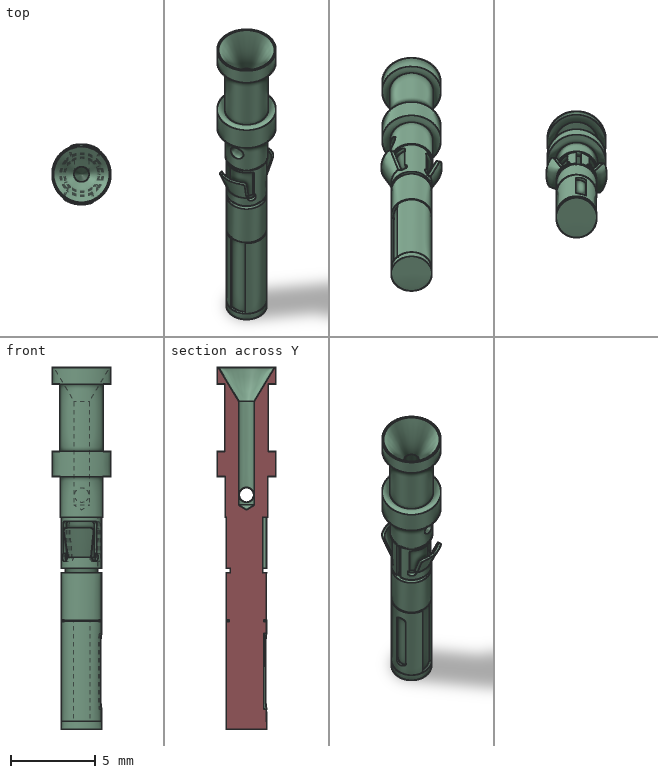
import cadquery as cq
import math

length = 21.5
end_band_top = 0.5
lower_sleeve_top = 6.4
collar_bottom = 6.5
collar_top = 9.3
clip_bottom = 9.57
clip_top = 12.6
flange_bottom = 15.0
flange_top = 16.51
head_bottom = 20.51

head_dia = 3.5
barrel_dia = 2.6
shank_dia = 2.54
sleeve_dia = 2.4
end_band_dia = 2.43
clip_core_dia = 1.95
lower_core_dia = 2.1

entry_dia = 3.31
bore_dia = 0.9
entry_depth = 2.0
bore_bottom = 13.33
drill_tip_angle = 118.0
drill_tip_height = bore_dia / 2 / math.tan(math.radians(drill_tip_angle / 2))

inspection_dia = 0.85
inspection_z = 13.93

clip_turn = -7.0
window_half_angle = 57.0
window_top = 12.36
window_corner_radius = 0.2
bend_z = 10.23
relief_half_angle = 50.0
relief_dia = 0.52
tine_tip_radius = 1.8
tine_tip_z = 11.98
tine_base_width = 1.33
tine_tip_width = 1.85
tine_corner_radius = 0.2
tine_root = 0.13
tine_thickness = 0.17
clip_seam_width = 0.3

sleeve_seam_width = 0.99
slot_width = 0.65
slot_length = 4.52

sleeve_radius = sleeve_dia / 2
clip_core_radius = clip_core_dia / 2
cut_reach = head_dia


def cylinder(diameter, bottom, top):
    return cq.Workplane("XY").workplane(offset=bottom).circle(diameter / 2).extrude(top - bottom)


def turned_body():
    steps = [
        (end_band_dia, 0, end_band_top),
        (sleeve_dia, end_band_top, lower_sleeve_top),
        (lower_core_dia, lower_sleeve_top, collar_bottom),
        (sleeve_dia, collar_bottom, collar_top),
        (clip_core_dia, collar_top, clip_bottom),
        (sleeve_dia, clip_bottom, clip_top),
        (shank_dia, clip_top, flange_bottom),
        (head_dia, flange_bottom, flange_top),
        (barrel_dia, flange_top, head_bottom),
        (head_dia, head_bottom, length),
    ]
    body = cylinder(*steps[0])
    for step in steps[1:]:
        body = body.union(cylinder(*step), clean=False)
    return body


def wire_entry():
    """Funnel leading into a drilled bore with a conical bottom."""
    return (
        cq.Workplane("XZ")
        .moveTo(0, length)
        .lineTo(entry_dia / 2, length)
        .lineTo(bore_dia / 2, length - entry_depth)
        .lineTo(bore_dia / 2, bore_bottom)
        .lineTo(0, bore_bottom - drill_tip_height)
        .close()
        .revolve(360, (0, 0), (0, 1))
    )


def inspection_hole():
    return (
        cq.Workplane("XZ")
        .center(0, inspection_z)
        .circle(inspection_dia / 2)
        .extrude(-shank_dia)
    )


def clip_window():
    """Radial-walled opening facing -Y, with a relief hole at each end of the bend line."""
    opening = (
        cq.Workplane("XZ")
        .moveTo(clip_core_radius, bend_z)
        .lineTo(cut_reach, bend_z)
        .lineTo(cut_reach, window_top)
        .lineTo(clip_core_radius, window_top)
        .close()
        .revolve(2 * window_half_angle, (0, 0), (0, 1))
    )
    middle = opening.val().Center()
    heading = math.degrees(math.atan2(middle.y, middle.x))
    opening = opening.rotate((0, 0, 0), (0, 0, 1), -90 - heading)
    top_corners = opening.faces(">Z").edges("%LINE")
    opening = opening.newObject(top_corners.vals()).fillet(window_corner_radius)
    for side in (-1, 1):
        relief = (
            cq.Workplane("XZ")
            .workplane(offset=clip_core_radius)
            .center(0, bend_z)
            .circle(relief_dia / 2)
            .extrude(cut_reach)
            .rotate((0, 0, 0), (0, 0, 1), side * relief_half_angle)
        )
        opening = opening.union(relief)
    return opening


def clip_tine():
    """Tapered tongue of a conical wall that flares outward on the -Y side."""
    flare = (tine_tip_radius - sleeve_radius) / (tine_tip_z - bend_z)
    root_radius = sleeve_radius - flare * tine_root
    wall = (
        cq.Workplane("XZ")
        .moveTo(root_radius - tine_thickness, bend_z - tine_root)
        .lineTo(root_radius, bend_z - tine_root)
        .lineTo(tine_tip_radius, tine_tip_z)
        .lineTo(tine_tip_radius - tine_thickness, tine_tip_z)
        .close()
        .revolve(360, (0, 0), (0, 1))
    )
    outline = (
        cq.Workplane("XZ")
        .moveTo(-tine_base_width / 2, bend_z - tine_root)
        .lineTo(tine_base_width / 2, bend_z - tine_root)
        .lineTo(tine_tip_width / 2, tine_tip_z)
        .lineTo(-tine_tip_width / 2, tine_tip_z)
        .close()
        .extrude(cut_reach)
        .edges("|Y and >Z")
        .fillet(tine_corner_radius)
    )
    return wall.intersect(outline)


def sleeve_cut(width, core_dia, bottom, top):
    """Block on +X that removes the sleeve wall down to the core."""
    block = (
        cq.Workplane("XY")
        .box(sleeve_radius, width, top - bottom, centered=(False, True, False))
        .translate((sleeve_radius / 2, 0, bottom))
    )
    return block.cut(cylinder(core_dia, bottom, top))


def sleeve_slot():
    middle = (end_band_top + lower_sleeve_top) / 2
    slot = (
        cq.Workplane("YZ")
        .workplane(offset=sleeve_radius / 2)
        .center(0, middle)
        .slot2D(slot_length, slot_width, 90)
        .extrude(sleeve_radius)
    )
    return slot.cut(cylinder(lower_core_dia, end_band_top, lower_sleeve_top))


def turned(shape, angle):
    return shape.rotate((0, 0, 0), (0, 0, 1), angle)


result = turned_body().cut(wire_entry()).cut(inspection_hole())

clip_angles = (clip_turn, clip_turn + 180)
for angle in clip_angles:
    result = result.cut(turned(clip_window(), angle))
for angle in clip_angles:
    result = result.union(turned(clip_tine(), angle))
clip_seam = sleeve_cut(clip_seam_width, clip_core_dia, clip_bottom, clip_top)
result = result.cut(turned(clip_seam, clip_turn))

sleeve_seam = sleeve_cut(sleeve_seam_width, lower_core_dia, end_band_top, lower_sleeve_top)
result = result.cut(turned(sleeve_seam, 90))
result = result.cut(sleeve_slot())